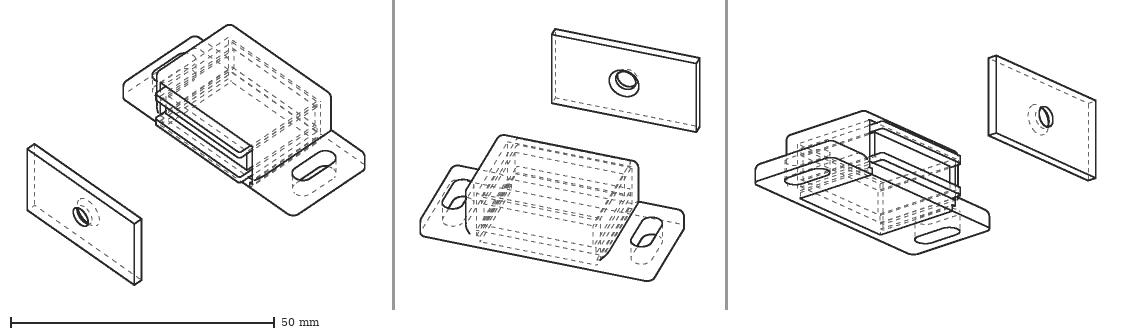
import cadquery as cq


flange_length = 47.0
housing_depth = 20.0
flange_height = 4.0
box_width = 28.7
housing_height = 13.0
edge_radius = 1.5
front_edge_radius = 1.0

slot_spacing = 38.0
slot_width = 4.0
slot_length = 10.0

cavity_width = 25.0
cavity_top = 11.1
channel_width = 23.5
channel_height = 1.3
back_wall = 2.0
cavity_depth = housing_depth - back_wall

cover_height = 2.5

pole_width = 23.0
pole_thickness = 1.5
pole_protrusion = 2.45
pole_corner_radius = 0.5
magnet_width = 22.0
magnet_height = 5.0
magnet_bottom = cover_height + pole_thickness
pole_bottoms = (cover_height, magnet_bottom + magnet_height)

strike_width = 29.1
strike_thickness = 2.0
strike_height = 16.0
strike_bottom = -1.5
strike_hole_diameter = 4.0
countersink_diameter = 6.0
countersink_angle = 90
overall_depth = 53.5
strike_front = housing_depth - overall_depth


def block(width, front, depth, bottom, height):
    """Box centred on x = 0, reaching back from `front` and up from `bottom`."""
    return cq.Workplane("XY").box(width, depth, height, centered=(True, False, False)).translate(
        (0, front, bottom)
    )


def rounded_flange():
    flange = block(flange_length, 0, housing_depth, 0, flange_height)
    return flange.edges("|Z").fillet(edge_radius).faces(">Z").edges().fillet(edge_radius)


def rounded_box():
    box = block(box_width, 0, housing_depth, 0, housing_height)
    box = box.edges("|Z or (|Y and >Z)").fillet(edge_radius)
    return box.faces(">Z").edges("|X").fillet(front_edge_radius)


def t_section(depth, top):
    """Channel with the wider cavity above it, up to `top`."""
    channel = block(channel_width, 0, depth, 0, channel_height)
    return channel.union(block(cavity_width, 0, depth, channel_height, top - channel_height))


def make_housing():
    slots = (
        cq.Workplane("XY")
        .pushPoints([(side * slot_spacing / 2, housing_depth / 2) for side in (-1, 1)])
        .slot2D(slot_length, slot_width, 90)
        .extrude(flange_height)
    )
    return rounded_flange().union(rounded_box()).cut(slots).cut(t_section(cavity_depth, cavity_top))


def make_cover():
    return t_section(cavity_depth, cover_height)


def make_magnet():
    return block(magnet_width, 0, cavity_depth, magnet_bottom, magnet_height)


def make_pole(bottom):
    plate = block(pole_width, -pole_protrusion, pole_protrusion + cavity_depth, bottom, pole_thickness)
    return plate.edges("|Z and <Y").fillet(pole_corner_radius)


def make_strike():
    plate = block(strike_width, strike_front, strike_thickness, strike_bottom, strike_height)
    return plate.faces(">Y").workplane(centerOption="CenterOfBoundBox").cskHole(
        strike_hole_diameter, countersink_diameter, countersink_angle
    )


housing = make_housing()
cover = make_cover()
magnet = make_magnet()
poles = [make_pole(bottom) for bottom in pole_bottoms]
strike = make_strike()

result = cq.Compound.makeCompound(
    [housing.val(), cover.val(), magnet.val(), *[pole.val() for pole in poles], strike.val()]
)